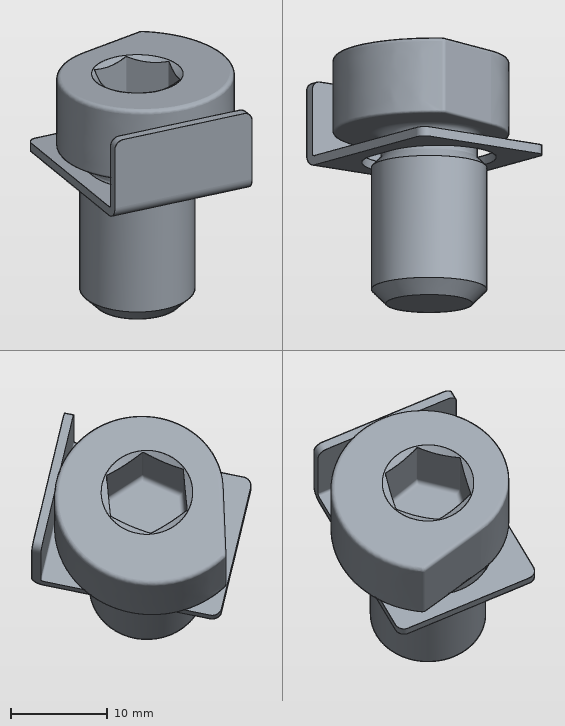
import cadquery as cq
import math


bolt_length = 26.0
head_height = 8.0
cam_start_angle = 197.3
cam_sweep = 314.1
cam_start_radius = 7.95
cam_rise_per_turn = 3.38
nose_round = 0.52
head_top_round = 0.45
head_bottom_round = 0.25

shank_radius = 6.0
neck_radius = 5.02
neck_fillet = 1.0
tip_chamfer = 1.5
shoulder_width = shank_radius - neck_radius
shoulder_round = 0.25
shank_top = 14.45
head_bottom = bolt_length - head_height

socket_across_flats = 8.0
socket_depth = 6.5
socket_angle = -12.5
socket_edge_round = 0.15
socket_floor_round = 0.5
socket_mouth_radius = 4.75
socket_mouth_slope = 30.0

sheet_thickness = 1.0
washer_left = -9.5
washer_right = 10.5
washer_width = 16.05
washer_bottom = 15.25
flange_height = 9.0
inner_bend_radius = 0.3
outer_bend_radius = inner_bend_radius + sheet_thickness
washer_corner_round = 1.0
slot_radius = shank_radius
slot_travel = 1.6


def cam_point(fraction):
    """Point on the head's spiral, from its start (0) to the cam nose (1)."""
    sweep = fraction * cam_sweep
    radius = cam_start_radius + cam_rise_per_turn * sweep / 360
    angle = math.radians(cam_start_angle + sweep)
    return radius * math.cos(angle), radius * math.sin(angle)


def make_head():
    """Spiral cam head, closed by a flat from its nose back to the spiral's start."""
    head = (
        cq.Workplane("XY", origin=(0, 0, head_bottom))
        .parametricCurve(cam_point, N=60, makeWire=False)
        .moveTo(*cam_point(1))
        .lineTo(*cam_point(0))
        .wire()
        .extrude(head_height)
    )
    nose_middle = (*cam_point(1), head_bottom + head_height / 2)
    head = head.edges(cq.selectors.NearestToPointSelector(nose_middle)).fillet(nose_round)
    head = head.faces(">Z").edges().fillet(head_top_round)
    return head.faces("<Z").edges().fillet(head_bottom_round)


def make_shank():
    """Revolved shank with a chamfered tip, a 45 degree shoulder and a filleted neck."""
    fillet_start = head_bottom - neck_fillet
    fillet_offset = neck_fillet * (1 - math.sqrt(0.5))
    shoulder_top = shank_top + shoulder_width
    shank = (
        cq.Workplane("XZ")
        .lineTo(shank_radius - tip_chamfer, 0)
        .lineTo(shank_radius, tip_chamfer)
        .lineTo(shank_radius, shank_top)
        .lineTo(neck_radius, shoulder_top)
        .lineTo(neck_radius, fillet_start)
        .threePointArc(
            (neck_radius + fillet_offset, head_bottom - fillet_offset),
            (neck_radius + neck_fillet, head_bottom),
        )
        .lineTo(0, head_bottom)
        .close()
        .revolve(360, (0, 0, 0), (0, 1, 0))
    )
    shoulder_edge = cq.selectors.NearestToPointSelector((0, 0, shoulder_top))
    return shank.edges("%CIRCLE").edges(shoulder_edge).fillet(shoulder_round)


def make_socket():
    """Hex socket volume with rounded edges and a conical mouth."""
    across_corners = socket_across_flats / math.cos(math.radians(30))
    hexagon = (
        cq.Workplane("XY", origin=(0, 0, bolt_length - socket_depth))
        .polygon(6, across_corners)
        .extrude(socket_depth)
        .edges("|Z").fillet(socket_edge_round)
        .faces("<Z").edges().fillet(socket_floor_round)
        .rotate((0, 0, 0), (0, 0, 1), socket_angle)
    )
    cone_depth = socket_mouth_radius * math.tan(math.radians(socket_mouth_slope))
    mouth = cq.Workplane(
        cq.Solid.makeCone(0, socket_mouth_radius, cone_depth, pnt=cq.Vector(0, 0, bolt_length - cone_depth))
    )
    return hexagon.union(mouth)


def make_bolt():
    return make_head().union(make_shank()).cut(make_socket())


def make_washer():
    """Bent sheet with a flat, slotted base under the head and an upright flange on the +X side."""
    washer_top = washer_bottom + sheet_thickness
    flange_top = washer_bottom + flange_height
    flange_inside = washer_right - sheet_thickness
    washer = (
        cq.Workplane("XZ", origin=(0, washer_width / 2, 0))
        .moveTo(washer_left, washer_bottom)
        .lineTo(washer_right - outer_bend_radius, washer_bottom)
        .radiusArc((washer_right, washer_bottom + outer_bend_radius), -outer_bend_radius)
        .lineTo(washer_right, flange_top)
        .lineTo(flange_inside, flange_top)
        .lineTo(flange_inside, washer_top + inner_bend_radius)
        .radiusArc((flange_inside - inner_bend_radius, washer_top), inner_bend_radius)
        .lineTo(washer_left, washer_top)
        .close()
        .extrude(washer_width)
    )
    washer = washer.faces("<X").edges("|Z").fillet(washer_corner_round)
    washer = washer.faces(">Z").edges("|X").fillet(washer_corner_round)
    slot = (
        cq.Workplane("XY", origin=(0, 0, washer_bottom))
        .slot2D(2 * (slot_travel + slot_radius), 2 * slot_radius)
        .extrude(sheet_thickness)
    )
    return washer.cut(slot)


bolt = make_bolt()
washer = make_washer()

result = cq.Compound.makeCompound([*bolt.solids().vals(), *washer.solids().vals()])